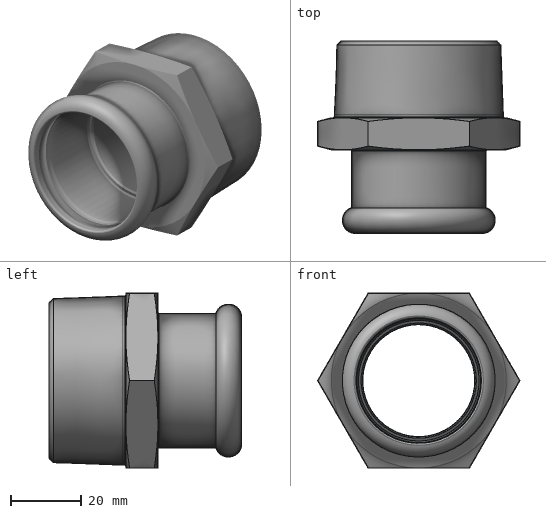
import cadquery as cq
import math


total_length = 55.0
hex_start = 23.9
hex_end = 33.0
bead_width = 7.35

hex_across_corners = 57.75
hex_across_flats = hex_across_corners * math.cos(math.radians(30))
hex_chamfer_angle = 15.0

thread_root_radius = 48.3 / 2
thread_end_radius = 23.45
thread_end_chamfer = 1.25
thread_collar_length = 0.65
hex_joint_chamfer = 0.3

tube_radius = 38.4 / 2
bead_radius = 21.8

mouth_radius = 17.9
mouth_round = 0.6
mouth_edge_radius = mouth_radius + mouth_round
groove_start = 2.3
groove_end = 5.6
groove_bottom_radius = 19.9
land_end = 6.7
socket_radius = 35.4 / 2
lead_in_end = 7.6
socket_depth = 26.0
stop_edge_chamfer = 0.45
bore_radius = 16.0
bore_edge_chamfer = 0.45


def revolve_about_y(profile):
    """Revolve a closed (radius, y) profile about the Y axis."""
    return profile.close().revolve(360, (0, 0, 0), (0, 1, 0))


def make_hexagon():
    """Hexagonal wrench section with conical chamfers on both faces."""
    hexagon = (
        cq.Workplane("XZ", origin=(0, hex_start, 0))
        .polygon(6, hex_across_corners)
        .extrude(hex_start - hex_end)
    )
    flat_radius = hex_across_flats / 2
    corner_radius = hex_across_corners / 2
    envelope_radius = corner_radius + 0.6
    cone_drop = (envelope_radius - flat_radius) * math.tan(math.radians(hex_chamfer_angle))
    envelope = revolve_about_y(
        cq.Workplane("XY")
        .moveTo(0, hex_start)
        .lineTo(flat_radius, hex_start)
        .lineTo(envelope_radius, hex_start + cone_drop)
        .lineTo(envelope_radius, hex_end - cone_drop)
        .lineTo(flat_radius, hex_end)
        .lineTo(0, hex_end)
    )
    return hexagon.intersect(envelope)


def make_round_body():
    """Rolled bead, tube and tapered thread envelope as one solid of revolution."""
    collar_start = hex_end + hex_joint_chamfer
    return revolve_about_y(
        cq.Workplane("XY")
        .lineTo(mouth_edge_radius, 0)
        .threePointArc((bead_radius, bead_width / 2), (tube_radius, bead_width))
        .lineTo(tube_radius, hex_start - hex_joint_chamfer)
        .lineTo(tube_radius + hex_joint_chamfer, hex_start)
        .lineTo(thread_root_radius + hex_joint_chamfer, hex_end)
        .lineTo(thread_root_radius, collar_start)
        .lineTo(thread_root_radius, collar_start + thread_collar_length)
        .lineTo(thread_end_radius, total_length - thread_end_chamfer)
        .lineTo(thread_end_radius - thread_end_chamfer, total_length)
        .lineTo(0, total_length)
    )


def make_cavity():
    """Rounded mouth, seal groove, lead-in cone, socket with stop, and through bore."""
    mouth_arc_inset = mouth_round * (1 - math.sqrt(0.5))
    mouth_middle = (mouth_radius + mouth_arc_inset, mouth_arc_inset)
    groove_bottom = (groove_bottom_radius, (groove_start + groove_end) / 2)
    return revolve_about_y(
        cq.Workplane("XY")
        .lineTo(mouth_edge_radius, 0)
        .threePointArc(mouth_middle, (mouth_radius, mouth_round))
        .lineTo(mouth_radius, groove_start)
        .threePointArc(groove_bottom, (mouth_radius, groove_end))
        .lineTo(mouth_radius, land_end)
        .lineTo(socket_radius, lead_in_end)
        .lineTo(socket_radius, socket_depth - stop_edge_chamfer)
        .lineTo(socket_radius - stop_edge_chamfer, socket_depth)
        .lineTo(bore_radius + bore_edge_chamfer, socket_depth)
        .lineTo(bore_radius, socket_depth + bore_edge_chamfer)
        .lineTo(bore_radius, total_length)
        .lineTo(0, total_length)
    )


result = make_round_body().union(make_hexagon()).cut(make_cavity())